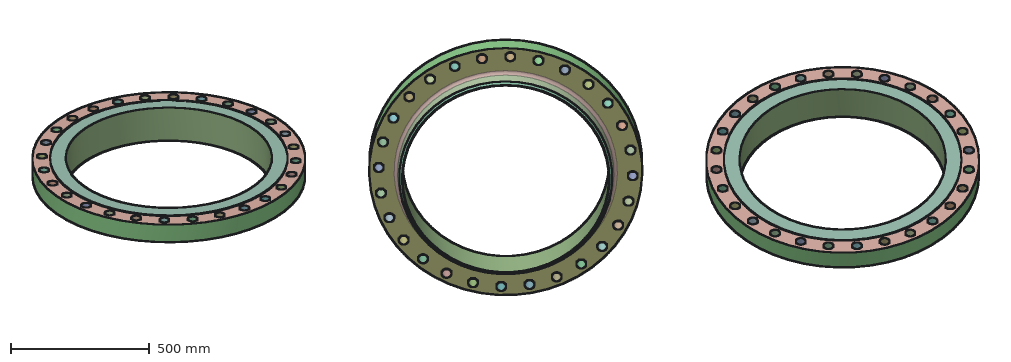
import cadquery as cq

flange_diameter = 984.0
flange_thickness = 73.0
raised_face_diameter = 856.0
raised_face_height = 3.0
bore_diameter = 743.0

total_height = 137.0
neck_root_diameter = 782.0
neck_end_diameter = 768.0
neck_fillet = 13.0
weld_bevel_width = 10.0
weld_bevel_height = 9.0

bolt_count = 28
bolt_circle_diameter = 915.0
bolt_hole_diameter = 35.0

flange_top = total_height - raised_face_height
flange_bottom = flange_top - flange_thickness

bore_radius = bore_diameter / 2
flange_radius = flange_diameter / 2
raised_face_radius = raised_face_diameter / 2
neck_end_radius = neck_end_diameter / 2


def flange_body():
    """Revolve the half section of the flange and its tapered neck about Z."""
    section = (
        cq.Workplane("XZ")
        .moveTo(bore_radius, 0)
        .lineTo(neck_end_radius - weld_bevel_width, 0)
        .lineTo(neck_end_radius, weld_bevel_height)
        .lineTo(neck_root_diameter / 2, flange_bottom)
        .lineTo(flange_radius, flange_bottom)
        .lineTo(flange_radius, flange_top)
        .lineTo(raised_face_radius, flange_top)
        .lineTo(raised_face_radius, total_height)
        .lineTo(bore_radius, total_height)
        .close()
    )
    body = section.revolve(360, (0, 0, 0), (0, 1, 0))
    underside = body.faces("|Z").faces("<Z[-2]")
    root_edges = underside.edges(cq.selectors.RadiusNthSelector(0))
    return root_edges.fillet(neck_fillet)


def bolt_holes():
    """Through-hole cutters, one of them on the +X axis."""
    return (
        cq.Workplane("XY")
        .polarArray(bolt_circle_diameter / 2, 0, 360, bolt_count)
        .circle(bolt_hole_diameter / 2)
        .extrude(total_height)
    )


result = flange_body().cut(bolt_holes())